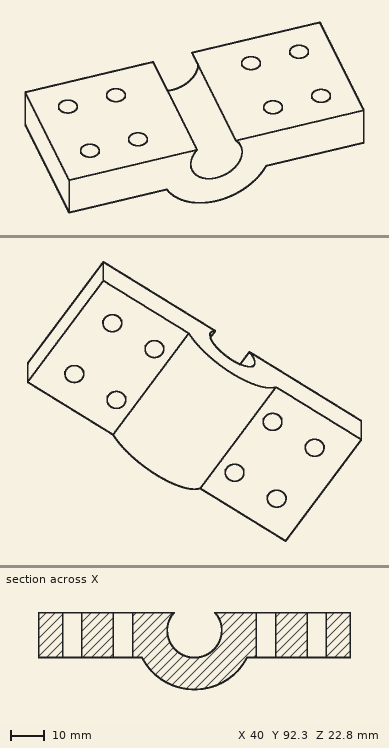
import cadquery as cq

length = 92.3
width = 40.0
plate_thickness = 13.3

bore_diameter = 16.1
belly_radius = 17.5

hole_diameter = 5.5
hole_edge_distance = 10.0
hole_pitch_y = 15.0

bore_radius = bore_diameter / 2
axis_z = bore_radius - plate_thickness
total_height = belly_radius - axis_z


def cradle_cylinder(radius):
    """Cylinder across the full width, on the axis shared by bore and belly."""
    return (
        cq.Workplane("YZ")
        .center(0, axis_z)
        .circle(radius)
        .extrude(width / 2, both=True)
    )


def wing_hole_points():
    """Hole centres, mirrored about both centre lines."""
    x = width / 2 - hole_edge_distance
    outer_y = length / 2 - hole_edge_distance
    inner_y = outer_y - hole_pitch_y
    return [
        (side_x * x, side_y * y)
        for side_x in (-1, 1)
        for side_y in (-1, 1)
        for y in (inner_y, outer_y)
    ]


plate = cq.Workplane("XY").box(width, length, plate_thickness, centered=(True, True, False))
plate = plate.translate((0, 0, -plate_thickness))

below_top = cq.Workplane("XY").box(width, length, total_height, centered=(True, True, False))
below_top = below_top.translate((0, 0, -total_height))
belly = cradle_cylinder(belly_radius).intersect(below_top)

holes = (
    cq.Workplane("XY")
    .pushPoints(wing_hole_points())
    .circle(hole_diameter / 2)
    .extrude(-plate_thickness)
)

result = plate.union(belly).cut(cradle_cylinder(bore_radius)).cut(holes)